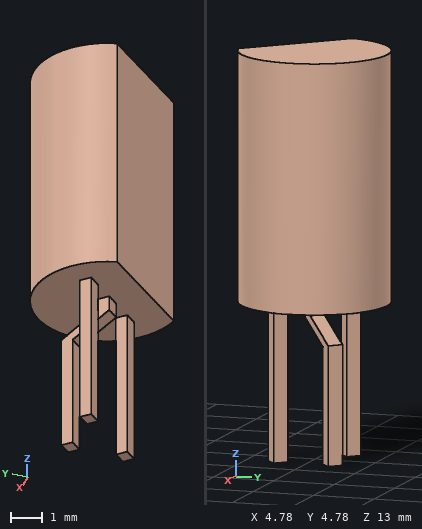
import cadquery as cq
import math

BODY_RADIUS = 2.413
BODY_HEIGHT = 8.0
FLAT_OFFSET = 1.35

LEAD_LENGTH = 5.0
LEAD_WIDTH = 0.5
LEAD_THICKNESS = 0.4
LEAD_PITCH = 1.27

BEND_OFFSET = 1.28
BEND_DROP = 0.75
FRONT_BEND_DEPTH = 0.5
BACK_BEND_DEPTH = 0.4

TURN_ABOUT_Z = -45.0


def make_body():
    half_flat = math.sqrt(BODY_RADIUS**2 - FLAT_OFFSET**2)
    return (
        cq.Workplane("XY")
        .moveTo(-half_flat, -FLAT_OFFSET)
        .threePointArc((0, BODY_RADIUS), (half_flat, -FLAT_OFFSET))
        .close()
        .extrude(BODY_HEIGHT)
    )


def make_straight_lead(x):
    return (
        cq.Workplane("XY")
        .center(x, 0)
        .rect(LEAD_WIDTH, LEAD_THICKNESS)
        .extrude(-LEAD_LENGTH)
    )


def make_bent_lead():
    """Side profile with two sharp bends, extruded across the lead width."""
    front = -LEAD_THICKNESS / 2
    back = LEAD_THICKNESS / 2
    profile = [
        (front, 0),
        (front, -FRONT_BEND_DEPTH),
        (front + BEND_OFFSET, -FRONT_BEND_DEPTH - BEND_DROP),
        (front + BEND_OFFSET, -LEAD_LENGTH),
        (back + BEND_OFFSET, -LEAD_LENGTH),
        (back + BEND_OFFSET, -BACK_BEND_DEPTH - BEND_DROP),
        (back, -BACK_BEND_DEPTH),
        (back, 0),
    ]
    return cq.Workplane("YZ").polyline(profile).close().extrude(LEAD_WIDTH / 2, both=True)


part = make_body().union(make_bent_lead())
for side in (-1, 1):
    part = part.union(make_straight_lead(side * LEAD_PITCH))

result = part.rotate((0, 0, 0), (0, 0, 1), TURN_ABOUT_Z)